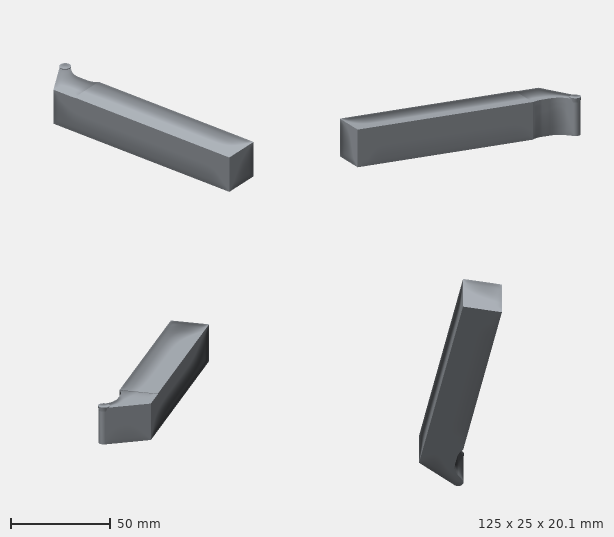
import cadquery as cq
import math

length = 125.0
shank_size = 20.0
shoulder_x = 26.0
head_drop = 0.2
heel_angle = 30.0
relief_angle = 45.0
relief_radius = 10.0
relief_depth = 2.0

insert_radius = 3.0
insert_thickness = 2.4
clearance_angle = 7.0
insert_top = 20.1
overall_width = 25.0

center_x = insert_radius
center_y = overall_width - insert_radius
nose_radius = insert_radius - insert_thickness * math.tan(math.radians(clearance_angle))
relief_y = shank_size - relief_depth


def on_nose(angle):
    """Point of the nose circle at an angle in degrees from +X."""
    a = math.radians(angle)
    return (center_x + nose_radius * math.cos(a), center_y + nose_radius * math.sin(a))


def on_relief(arc_center, angle):
    """Point of a relief arc at an angle in degrees from +X."""
    a = math.radians(angle)
    return (arc_center[0] + relief_radius * math.cos(a), arc_center[1] + relief_radius * math.sin(a))


def make_holder(insert):
    heel_normal = 180 + heel_angle
    back_normal = 90 - relief_angle
    heel_tangent = on_nose(heel_normal)
    back_tangent = on_nose(back_normal)
    heel_x = heel_tangent[0] + heel_tangent[1] * math.tan(math.radians(heel_angle))

    back = math.radians(relief_angle)
    floor_meet_x = back_tangent[0] + (back_tangent[1] - relief_y) / math.tan(back)
    arc_y = relief_y + relief_radius
    first_center = (floor_meet_x + relief_radius * math.tan(back / 2), arc_y)

    rise = math.acos(1 - relief_depth / relief_radius)
    second_center = (shoulder_x - relief_radius * math.sin(rise), arc_y)

    outline = (
        cq.Workplane("XY")
        .moveTo(heel_x, 0)
        .lineTo(length, 0)
        .lineTo(length, shank_size)
        .lineTo(shoulder_x, shank_size)
        .threePointArc(on_relief(second_center, 270 + math.degrees(rise) / 2), (second_center[0], relief_y))
        .lineTo(first_center[0], relief_y)
        .threePointArc(
            on_relief(first_center, 270 - relief_angle / 2),
            on_relief(first_center, 270 - relief_angle),
        )
        .lineTo(*back_tangent)
        .threePointArc(on_nose((heel_normal + back_normal) / 2), heel_tangent)
        .close()
    )
    head_clearance = cq.Workplane("XY").box(
        shoulder_x, overall_width, head_drop, centered=False
    ).translate((0, 0, shank_size - head_drop))
    return outline.extrude(shank_size).cut(head_clearance).cut(insert)


def make_insert():
    return (
        cq.Workplane("XY", origin=(center_x, center_y, insert_top))
        .circle(insert_radius)
        .extrude(-insert_thickness, taper=clearance_angle)
    )


insert = make_insert()
holder = make_holder(insert)
result = cq.Compound.makeCompound([holder.val(), insert.val()])